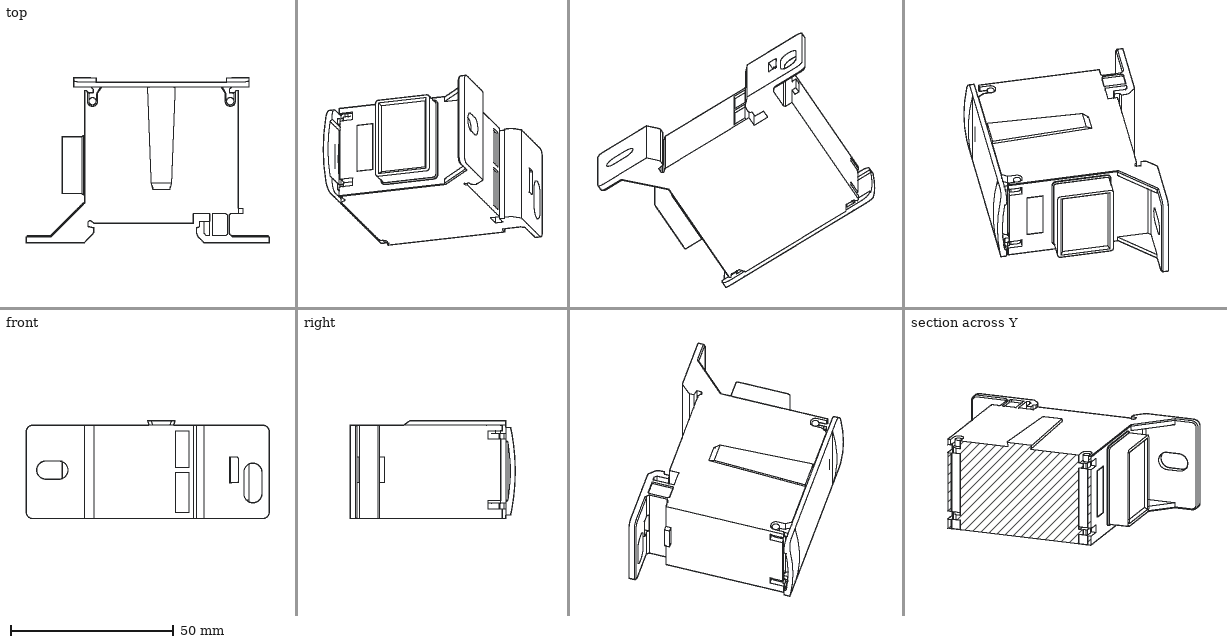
import cadquery as cq

DEPTH = 28.9
LEFT, RIGHT = 17.9, 65.5
STEP_X = 51.6
HOOK_TIP = 20.9
BOTTOM, TOP = 6.0, 48.0
MID_X = (LEFT + RIGHT) / 2
EDGE_CHAMFER = 0.2
LENGTH = 75.0

FOOT_THICK = 2.2
FOOT_BEVEL = 0.45
FOOT_EDGE_THICK = FOOT_THICK - FOOT_BEVEL
GUSSET_THICK = 1.8
GUSSET_BEVEL = 0.4
FOOT_CORNER = 2.1
GUSSET_TOP = 12.6
SEAT_Y = 9.0

PILLAR_LEFT, PILLAR_RIGHT = 56.55, 62.6
PILLAR_CHAMFER = 0.45
HOOK_TOP = 6.6
FOOT_FILLET_X, FOOT_FILLET_Y = 1.05, 1.1

LATCH_Z0, LATCH_Z1 = 11.1, 19.0
LATCH_TAB_END, LATCH_OPENING_END = 66.9, 65.4
LATCH_TAB_TOP = 10.65

COVER_LENGTH = 54.15
COVER_BACK, COVER_FRONT = 1.1, 28.2
COVER_MID_Z = (COVER_BACK + COVER_FRONT) / 2
COVER_CORNER = 3.0
COVER_EDGE_Y, COVER_CROWN_Y = 49.5, 50.9
CHANNEL_LENGTH = 40.05

HINGE_INSET = 2.55
HINGE_Y = 43.65
PIN_RADIUS = 1.1
SLOT_RADIUS = 1.6
SLOT_HEIGHT = 2.5
HINGE_STARTS = (3.1, 24.6)
LEG_HEIGHT = 1.7
PIN_TOP = 28.35
SHOULDER_Y = 46.3
WALL_TIP_Y = 47.0
WALL_MID_Y = 46.5
MOUTH_SLOPE = 1.2


def box(x0, x1, y0, y1, z0, z1):
    return cq.Workplane("XY").box(x1 - x0, y1 - y0, z1 - z0, centered=False).translate((x0, y0, z0))


def prism(points, z0, z1):
    return cq.Workplane("XY").workplane(offset=z0).polyline(points).close().extrude(z1 - z0)


def both_sides(shape):
    """A left-hand feature together with its mirror image about the housing middle."""
    return shape.union(shape.mirror("YZ", (MID_X, 0, 0)), clean=False)


def housing():
    upper = box(LEFT, RIGHT, SEAT_Y, TOP, 0, DEPTH).union(box(HOOK_TIP, STEP_X, BOTTOM, SEAT_Y, 0, DEPTH))
    return upper.edges("|Y and <X").chamfer(EDGE_CHAMFER)


def left_hook():
    """Fixed rail hook with the beveled corner that joins it to the left foot."""
    bevel = 0.9
    outline = [(LEFT - bevel, FOOT_THICK), (LEFT - bevel, 0), (LEFT, 0), (20.4, 2.55),
               (HOOK_TIP, 3.2), (HOOK_TIP, 4.65), (19.1, 5.0), (19.1, 6.45), (19.4, 6.75), (19.95, 6.75),
               (HOOK_TIP, BOTTOM), (HOOK_TIP, SEAT_Y), (LEFT, SEAT_Y), (LEFT, FOOT_THICK + bevel)]
    return prism(outline, 0, DEPTH)


def right_hook():
    """Pillar below the housing and the rail hook that stands beside it."""
    window_depth, gap_depth, gap_bevel = 0.75, 6.0, 0.75
    wall_x = 54.8
    foot_start = PILLAR_RIGHT + FOOT_FILLET_X
    outline = [(53.7, 1.2), (wall_x, 0), (foot_start, 0), (foot_start, FOOT_EDGE_THICK),
               (PILLAR_RIGHT, FOOT_EDGE_THICK + FOOT_FILLET_Y), (PILLAR_RIGHT, SEAT_Y - PILLAR_CHAMFER),
               (PILLAR_RIGHT + PILLAR_CHAMFER, SEAT_Y), (PILLAR_LEFT, SEAT_Y), (PILLAR_LEFT, HOOK_TOP),
               (53.4, HOOK_TOP), (53.4, 4.95), (52.5, 4.65), (52.5, 3.15)]
    hook = (cq.Workplane("XY").polyline(outline).threePointArc((52.9, 2.1), outline[0])
            .close().extrude(DEPTH))
    window = box(57.45, 62.0, FOOT_THICK, SEAT_Y, DEPTH - window_depth, DEPTH)
    window = window.edges("|Z and >X").chamfer(PILLAR_CHAMFER)
    gap_outline = [(wall_x, HOOK_TOP), (wall_x, FOOT_THICK + gap_bevel), (wall_x + gap_bevel, FOOT_THICK),
                   (PILLAR_LEFT, FOOT_THICK), (PILLAR_LEFT, HOOK_TOP)]
    gap = prism(gap_outline, DEPTH - gap_depth, DEPTH)
    return hook.cut(window).cut(gap)


def foot_plate(x0, x1, tip):
    """Flat mounting foot with a bevelled rim; `tip` selects its outer end."""
    plate = box(x0, x1, 0, FOOT_THICK, 0, DEPTH).edges("|Y and " + tip).fillet(FOOT_CORNER)
    return plate.faces(">Y").edges().chamfer(FOOT_BEVEL)


def gussets():
    """Two triangular side webs bracing the left foot, bevelled along their outer slope."""
    run = GUSSET_TOP - FOOT_EDGE_THICK
    foot_end = LEFT - run
    outline = [(foot_end, FOOT_EDGE_THICK), (foot_end, 0), (LEFT, 0), (LEFT + EDGE_CHAMFER, BOTTOM),
               (LEFT + EDGE_CHAMFER, GUSSET_TOP), (LEFT, GUSSET_TOP)]
    lower = prism(outline, 0, GUSSET_THICK)
    slope_middle = (LEFT - run / 2, FOOT_EDGE_THICK + run / 2, 0)
    lower = lower.edges(cq.selectors.NearestToPointSelector(slope_middle)).chamfer(GUSSET_BEVEL)
    return lower.union(lower.mirror("XY", (0, 0, DEPTH / 2)))


def foot_slot(x, z, length, angle):
    """Cutter for a screw slot through a foot."""
    width = 5.55
    return cq.Workplane("XZ").center(x, z).slot2D(length, width, angle).extrude(-FOOT_THICK)


def feet():
    left = foot_plate(0, LEFT, "<X").union(gussets()).cut(foot_slot(8.1, 15.0, 9.6, 0))
    right = foot_plate(PILLAR_RIGHT, LENGTH, ">X").cut(foot_slot(69.9, 11.0, 12.15, 90))
    return left.union(right)


def latch_tab():
    """Small tab on the right wall, above the opening in the right foot."""
    return box(PILLAR_RIGHT, LATCH_TAB_END, SEAT_Y, LATCH_TAB_TOP, LATCH_Z0, LATCH_Z1)


def latch_opening():
    """Cutter through the right foot, up to the pillar's upper bevel."""
    wall_clearance, corner = 0.1, 0.3
    start = PILLAR_RIGHT + wall_clearance
    opening = box(start, LATCH_OPENING_END, 0, SEAT_Y - PILLAR_CHAMFER, LATCH_Z0, LATCH_Z1)
    return opening.edges("|Y and >X").chamfer(corner)


def connector():
    """Socket on the left wall: flange, rounded block and a bevelled recess in its face."""
    mid_y, mid_z = 23.9, 15.0
    height, width = 17.55, 24.9
    corner = 1.0
    face_x = 11.1
    flange_thick, flange_grow, flange_chamfer = 0.7, 0.45, 0.4

    def block(x0, x1, grow):
        body = box(x0, x1, mid_y - height / 2 - grow, mid_y + height / 2 + grow,
                   mid_z - width / 2 - grow, mid_z + width / 2 + grow)
        return body.edges("|X").fillet(corner + grow)

    recess_bevel = 0.75
    mouth_height, mouth_width = 15.45, 23.1
    floor_height, floor_width = 14.25, 21.6
    recess = (cq.Workplane("YZ").workplane(offset=face_x).center(mid_y, mid_z)
              .rect(mouth_height, mouth_width)
              .workplane(offset=recess_bevel)
              .rect(floor_height, floor_width)
              .loft(combine=True))
    flange = block(LEFT - flange_thick, LEFT, flange_grow).faces("<X").chamfer(flange_chamfer)
    return block(face_x, LEFT, 0).union(flange).cut(recess)


def rib():
    """Tapered rib on the front face with undercut sides and a sloped lower end."""
    height, undercut = 1.35, 0.45
    end_y, end_slope = 16.5, 1.9
    wide, narrow = 4.3, 3.1

    def outline(base_y, inset):
        taper = (wide - narrow) / (TOP - end_y)
        base_half = narrow + taper * (base_y - end_y) - inset
        top_half = wide - inset
        return [(MID_X - top_half, TOP), (MID_X + top_half, TOP),
                (MID_X + base_half, base_y), (MID_X - base_half, base_y)]

    return (cq.Workplane("XY").workplane(offset=DEPTH).polyline(outline(end_y, undercut)).close()
            .workplane(offset=height).polyline(outline(end_y + end_slope, 0)).close()
            .loft(ruled=True, combine=True))


def bottom_pockets():
    """Two shallow pockets in the lower housing face, one above the other."""
    depth = 0.75
    x0, x1 = 46.05, 50.2
    lower = box(x0, x1, BOTTOM, BOTTOM + depth, 1.9, 14.25)
    upper = box(x0, x1, BOTTOM, BOTTOM + depth, 15.8, 27.0)
    return lower.union(upper)


def label_recess():
    depth = 0.15
    return box(LEFT, LEFT + depth, 35.9, 41.0, 7.6, 22.6)


def hinge_cuts():
    """Gap below the cover end, and the pin slots with their openings in the side wall."""
    x = LEFT + HINGE_INSET
    neck = x + SLOT_RADIUS
    mouth = [(LEFT - 0.75, TOP), (LEFT - 0.75, WALL_TIP_Y - 0.15), (LEFT, WALL_TIP_Y - 0.15),
             (LEFT + 0.6, WALL_TIP_Y), (x - SLOT_RADIUS + 0.4, SHOULDER_Y), (neck, SHOULDER_Y),
             (neck + MOUTH_SLOPE, TOP)]
    cuts = prism(mouth, 0, DEPTH)
    cuts = cuts.union(box(LEFT - 0.75, x, WALL_MID_Y, TOP, HINGE_STARTS[0], HINGE_STARTS[-1]))
    for z in HINGE_STARTS:
        slot_end = DEPTH if z == HINGE_STARTS[-1] else z + SLOT_HEIGHT
        slot = (cq.Workplane("XY").workplane(offset=z).moveTo(x - SLOT_RADIUS, HINGE_Y)
                .threePointArc((x, HINGE_Y - SLOT_RADIUS), (neck, HINGE_Y))
                .lineTo(neck, TOP - 0.75).lineTo(x - SLOT_RADIUS, TOP - 0.75).close().extrude(slot_end - z))
        opening = box(LEFT - 0.75, x, HINGE_Y - PIN_RADIUS, TOP, z, z + SLOT_HEIGHT)
        cuts = cuts.union(slot, clean=False).union(opening, clean=False)
    return both_sides(cuts)


def hinge_legs():
    """Legs of the cover, each ending in a round pin."""
    x = LEFT + HINGE_INSET
    right = x + PIN_RADIUS + 0.15
    outline = [(x - 0.45, TOP), (x + 0.15, TOP - 0.6), (x + 0.15, SHOULDER_Y - 0.1), (x - 0.75, SHOULDER_Y - 0.1),
               (x - PIN_RADIUS, SHOULDER_Y - 0.45), (x - PIN_RADIUS, HINGE_Y), (right, HINGE_Y),
               (right, SHOULDER_Y - 0.45), (right + MOUTH_SLOPE, TOP)]
    leg = prism(outline, 0, LEG_HEIGHT)
    leg = leg.union(cq.Workplane("XY").center(x, HINGE_Y).circle(PIN_RADIUS).extrude(LEG_HEIGHT))
    legs = cq.Workplane("XY")
    for z in HINGE_STARTS:
        legs = legs.add(leg.translate((0, 0, z)))
    legs = legs.combine()
    top_pin = cq.Workplane("XY").workplane(offset=HINGE_STARTS[-1]).center(x, HINGE_Y).circle(PIN_RADIUS)
    legs = legs.union(top_pin.extrude(PIN_TOP - HINGE_STARTS[-1]))
    return both_sides(legs)


def cover():
    """Arched cover with rounded corners, hollow under both ends and lowered along the middle."""
    x0, x1 = MID_X - COVER_LENGTH / 2, MID_X + COVER_LENGTH / 2
    hollow_half, hollow_wall_y, hollow_crown_y = 9.6, 48.7, 49.35
    hollow_inset = 0.7
    hollow_length = 9.75
    plane = cq.Workplane("YZ").workplane(offset=x0)
    arch = (plane.moveTo(TOP, COVER_BACK).lineTo(COVER_EDGE_Y, COVER_BACK)
            .threePointArc((COVER_CROWN_Y, COVER_MID_Z), (COVER_EDGE_Y, COVER_FRONT))
            .lineTo(TOP, COVER_FRONT).close().extrude(COVER_LENGTH))
    hollow = (plane.moveTo(TOP, COVER_MID_Z - hollow_half)
              .lineTo(hollow_wall_y, COVER_MID_Z - hollow_half + hollow_inset)
              .threePointArc((hollow_crown_y, COVER_MID_Z),
                             (hollow_wall_y, COVER_MID_Z + hollow_half - hollow_inset))
              .lineTo(TOP, COVER_MID_Z + hollow_half).close().extrude(hollow_length))
    channel = box(MID_X - CHANNEL_LENGTH / 2, MID_X + CHANNEL_LENGTH / 2, COVER_EDGE_Y, COVER_CROWN_Y + 0.75,
                  0, DEPTH)
    rounded = box(x0, x1, TOP, COVER_CROWN_Y, COVER_BACK, COVER_FRONT).edges("|Y").fillet(COVER_CORNER)
    return arch.intersect(rounded).cut(both_sides(hollow)).cut(channel)


def housing_panel():
    """Raised panel on top of the housing, reaching into the hollows of the cover."""
    start = LEFT + HINGE_INSET + SLOT_RADIUS + MOUTH_SLOPE
    half_width, height = 8.9, 0.7
    return box(start, 2 * MID_X - start, TOP - 0.75, TOP + height,
               COVER_MID_Z - half_width, COVER_MID_Z + half_width)


result = housing().union(left_hook()).union(right_hook()).union(feet()).union(latch_tab())
result = result.union(connector()).union(housing_panel()).union(rib())
result = result.cut(latch_opening()).cut(bottom_pockets()).cut(label_recess()).cut(hinge_cuts())
result = result.union(cover()).union(hinge_legs()).clean()